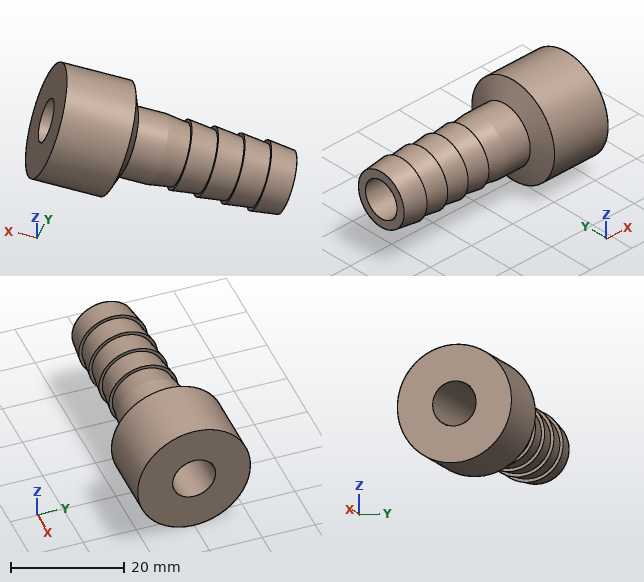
import cadquery as cq

total_length = 45.0
body_diameter = 21.35
bore_diameter = 8.1

barb_count = 4
barb_pitch = 5.0
barb_tip_diameter = 11.8
barb_crest_diameter = 13.0

shank_start = 24.3
shoulder_start = 30.0
shoulder_length = 2.0

body_radius = body_diameter / 2
tip_radius = barb_tip_diameter / 2
crest_radius = barb_crest_diameter / 2


def outer_profile():
    """Half section of the solid fitting: X along the axis, Y as the radius."""
    points = [(0, 0)]
    for barb in range(barb_count):
        points.append((barb * barb_pitch, tip_radius))
        points.append(((barb + 1) * barb_pitch, crest_radius))
    points.append((barb_count * barb_pitch, tip_radius))
    points.append((shank_start, crest_radius))
    points.append((shoulder_start, crest_radius))
    points.append((shoulder_start + shoulder_length, body_radius))
    points.append((total_length, body_radius))
    points.append((total_length, 0))
    return cq.Workplane("XY").polyline(points).close()


fitting = outer_profile().revolve(360, (0, 0, 0), (1, 0, 0))

bore = cq.Workplane("YZ").circle(bore_diameter / 2).extrude(total_length)

result = fitting.cut(bore)